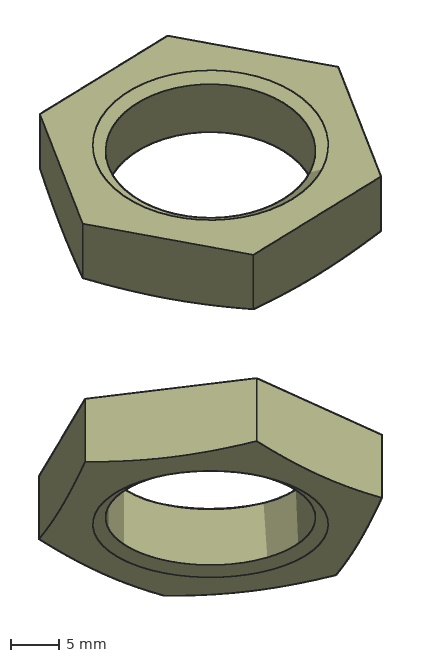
import cadquery as cq
import math

across_corners = 36.95
thickness = 8.0
bore_diameter = 21.85
countersink_diameter = 24.5
countersink_slope = 30.0
corner_chamfer_slope = 15.0

corner_radius = across_corners / 2
flat_radius = corner_radius * math.cos(math.radians(30))
bore_radius = bore_diameter / 2
countersink_radius = countersink_diameter / 2
countersink_depth = (countersink_radius - bore_radius) * math.tan(math.radians(countersink_slope))


def revolve_profile(points):
    """Revolve a closed (radius, height) outline about the Z axis."""
    return cq.Workplane("XZ").polyline(points).close().revolve(360, (0, 0, 0), (0, 1, 0))


def make_hexagon():
    """Hexagonal prism with two corners on the Y axis."""
    return (
        cq.Workplane("XY")
        .transformed(rotate=(0, 0, 90))
        .polygon(6, across_corners)
        .extrude(thickness)
    )


def make_corner_chamfer_envelope():
    """Round blank whose bottom cone trims the corners and just touches the flats."""
    clear_radius = 1.1 * corner_radius
    clear_height = (clear_radius - flat_radius) * math.tan(math.radians(corner_chamfer_slope))
    return revolve_profile([
        (0, 0),
        (flat_radius, 0),
        (clear_radius, clear_height),
        (clear_radius, thickness),
        (0, thickness),
    ])


def make_bore():
    """Through bore with a matching countersink at each end."""
    return revolve_profile([
        (0, 0),
        (countersink_radius, 0),
        (bore_radius, countersink_depth),
        (bore_radius, thickness - countersink_depth),
        (countersink_radius, thickness),
        (0, thickness),
    ])


result = make_hexagon().intersect(make_corner_chamfer_envelope()).cut(make_bore())